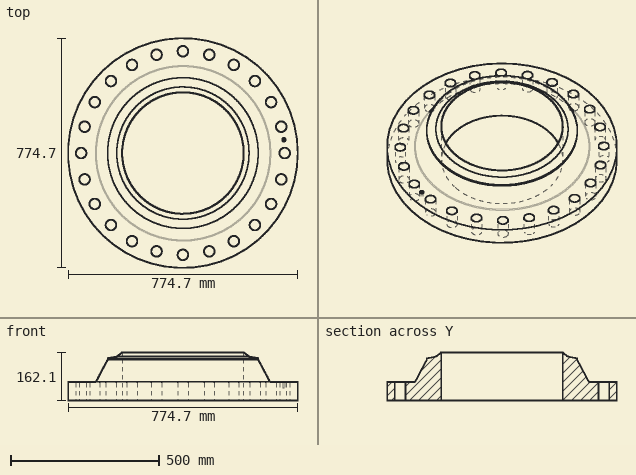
import cadquery as cq
import math

flange_diameter = 774.7
flange_thickness = 63.5
bolt_circle_diameter = 685.8
bolt_count = 24
bolt_hole_diameter = 35.0

overall_height = 162.12
bore_diameter = 408.0
hub_base_diameter = 587.0
neck_diameter = 508.0
hub_fillet_radius = 4.0
neck_bottom_z = 138.0

land_width = 1.6
bevel_break_width = 19.0
inner_bevel_angle = 37.5
outer_bevel_angle = 10.0

small_hole_diameter = 7.0
small_hole_depth = 20.0
counterbore_diameter = 12.4
counterbore_depth = 1.5
bolt_pitch_angle = 360.0 / bolt_count


def at_angle(radius, degrees):
    angle = math.radians(degrees)
    return (radius * math.cos(angle), radius * math.sin(angle))


def bevel_drop(width, angle):
    return width * math.tan(math.radians(angle))


def make_body():
    bore_radius = bore_diameter / 2
    flange_radius = flange_diameter / 2
    hub_base_radius = hub_base_diameter / 2
    neck_radius = neck_diameter / 2
    land_radius = bore_radius + land_width
    break_radius = bore_radius + bevel_break_width
    break_z = overall_height - bevel_drop(break_radius - land_radius, inner_bevel_angle)
    neck_top_z = break_z - bevel_drop(neck_radius - break_radius, outer_bevel_angle)
    half_section = [
        (bore_radius, 0),
        (flange_radius, 0),
        (flange_radius, flange_thickness),
        (hub_base_radius, flange_thickness),
        (neck_radius, neck_bottom_z),
        (neck_radius, neck_top_z),
        (break_radius, break_z),
        (land_radius, overall_height),
        (bore_radius, overall_height),
    ]
    body = cq.Workplane("XZ").polyline(half_section).close().revolve(360, (0, 0), (0, 1))
    hub_foot = body.edges("%CIRCLE").edges(cq.selectors.RadiusNthSelector(-2))
    return hub_foot.fillet(hub_fillet_radius)


def make_bolt_holes():
    return (
        cq.Workplane("XY")
        .polarArray(bolt_circle_diameter / 2, 0, 360, bolt_count)
        .circle(bolt_hole_diameter / 2)
        .extrude(flange_thickness)
    )


def make_small_hole():
    x, y = at_angle(bolt_circle_diameter / 2, bolt_pitch_angle / 2)
    face = cq.Workplane("XY", origin=(x, y, flange_thickness))
    hole = face.circle(small_hole_diameter / 2).extrude(-small_hole_depth)
    counterbore = face.circle(counterbore_diameter / 2).extrude(-counterbore_depth)
    return hole.union(counterbore)


result = make_body().cut(make_bolt_holes()).cut(make_small_hole())